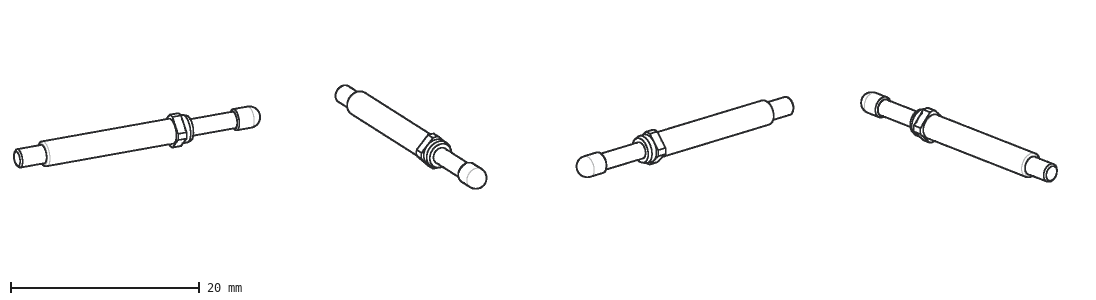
import cadquery as cq
import math


HEAD_RADIUS = 1.15
SHAFT_RADIUS = 0.9
COLLAR_RADIUS = 1.5
BARREL_RADIUS = 1.35
TAIL_RADIUS = 1.0

HEAD_LENGTH = 3.0
SHAFT_LENGTH = 5.3
COLLAR_LENGTH = 1.0
FLANGE_THICKNESS = 1.0
BARREL_LENGTH = 15.0
TAIL_LENGTH = 3.0

HEAD_CHAMFER_LENGTH = 0.15
HEAD_CHAMFER_DEPTH = 0.2
COLLAR_TAPER_LENGTH = 0.4
COLLAR_TAPER_DEPTH = 0.15
BARREL_FILLET = 0.2
TAIL_CHAMFER = 0.2

FLANGE_ACROSS_FLATS = 3.0
FLANGE_CORNER_DIAMETER = 3.6
FLANGE_ROTATION = 45

COLLAR_END = FLANGE_THICKNESS + COLLAR_LENGTH
SHAFT_END = COLLAR_END + SHAFT_LENGTH
TIP_END = SHAFT_END + HEAD_LENGTH
DOME_CENTER = TIP_END - HEAD_RADIUS
BARREL_END = -BARREL_LENGTH
TAIL_END = BARREL_END - TAIL_LENGTH


def make_turned_body():
    """Revolve the half profile of tail, barrel, collar, shaft and domed head."""
    dome_offset = HEAD_RADIUS * math.sqrt(0.5)
    profile = (
        cq.Workplane("XY")
        .moveTo(0, TAIL_END)
        .lineTo(TAIL_RADIUS - TAIL_CHAMFER, TAIL_END)
        .lineTo(TAIL_RADIUS, TAIL_END + TAIL_CHAMFER)
        .lineTo(TAIL_RADIUS, BARREL_END)
        .lineTo(BARREL_RADIUS - BARREL_FILLET, BARREL_END)
        .radiusArc((BARREL_RADIUS, BARREL_END + BARREL_FILLET), -BARREL_FILLET)
        .lineTo(BARREL_RADIUS, 0)
        .lineTo(COLLAR_RADIUS, 0)
        .lineTo(COLLAR_RADIUS, COLLAR_END - COLLAR_TAPER_LENGTH)
        .lineTo(COLLAR_RADIUS - COLLAR_TAPER_DEPTH, COLLAR_END)
        .lineTo(SHAFT_RADIUS, COLLAR_END)
        .lineTo(SHAFT_RADIUS, SHAFT_END)
        .lineTo(HEAD_RADIUS - HEAD_CHAMFER_DEPTH, SHAFT_END)
        .lineTo(HEAD_RADIUS, SHAFT_END + HEAD_CHAMFER_LENGTH)
        .lineTo(HEAD_RADIUS, DOME_CENTER)
        .threePointArc((dome_offset, DOME_CENTER + dome_offset), (0, TIP_END))
        .close()
    )
    return profile.revolve(360, (0, 0, 0), (0, 1, 0))


def make_flange():
    """Square plate standing on its corner, with corners rounded by a circle."""
    square = (
        cq.Workplane("XZ")
        .rect(FLANGE_ACROSS_FLATS, FLANGE_ACROSS_FLATS)
        .extrude(-FLANGE_THICKNESS)
        .rotate((0, 0, 0), (0, 1, 0), FLANGE_ROTATION)
    )
    corner_disc = cq.Workplane("XZ").circle(FLANGE_CORNER_DIAMETER / 2).extrude(-FLANGE_THICKNESS)
    return square.intersect(corner_disc)


result = make_turned_body().union(make_flange())